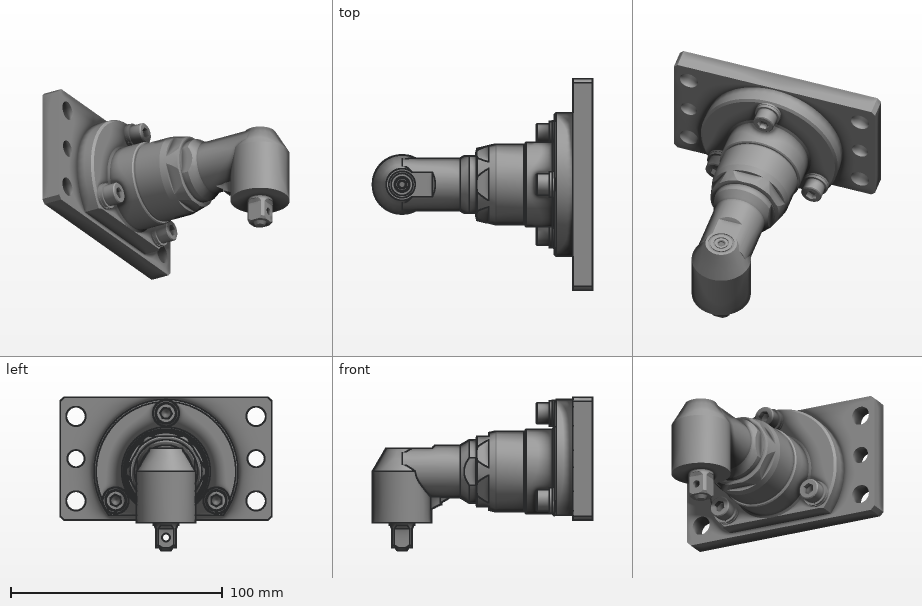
import cadquery as cq
import math


OVERALL_LENGTH = 104.0
SMALL = 0.1

HEAD_DIA = 28.0
HEAD_RADIUS = HEAD_DIA / 2
HEAD_BOTTOM_Z = -24.3
HEAD_TOP_Z = 11.0
HEAD_TOP_DIA = 15.0

TOP_GROOVES = [(12.5, 10.4, 0.5), (7.3, 6.0, 0.5)]
TOP_HOLE_DIA = 3.2
TOP_HOLE_DEPTH = 1.0
TOP_HOLE_CHAMFER = 0.4

SPINDLE_BOTTOM_Z = -37.4
SPINDLE_DIA = 12.0
COLLAR_HEIGHT = 1.0
SQUARE_SIZE = 9.6
RUNOUT_HEIGHT = 1.7
RUNOUT_DEPTH = 0.7
SQUARE_END_DIA = 10.3
SQUARE_END_TAPER = 1.1
TIP_HEIGHT = 1.5
TIP_BASE_DIA = 6.5
TIP_END_DIA = 4.3
PIN_HOLE_DIA = 3.6
PIN_HOLE_Z = -31.2

TUBE_DIA = 25.0
TUBE_SEAM_TURN = -60
TUBE_FLAT_END_X = 14.2

NECK_START_X = 27.6
NECK_RING_X = 31.7
NECK_RING_DIA = 30.0
NECK_WIDTH_ACROSS_FLATS = 27.0
NECK_FLAT_END_X = 34.8
NUT_START_X = 35.2
NUT_FACE_DIA = 32.0
NUT_TAPER_START_X = 35.5
NUT_TAPER_START_DIA = 34.0
NUT_FLAT_END_X = 41.0
NUT_ACROSS_FLATS = 33.3
NUT_SIDES = 6
BARREL_START_X = 44.2
BARREL_DIA = 38.1
GROOVE_START_X = 57.5
GROOVE_WIDTH = 0.7
GROOVE_DIA = 37.4
SLEEVE_DIA = 40.0
SLEEVE_CHAMFER = 0.5
SLEEVE_FLARE = 0.9

PLATE_THICKNESS = 9.4
PLATE_WIDTH = 100.0
PLATE_HEIGHT = 58.0
PLATE_CENTER_Z = 6.0
PLATE_CORNER_CHAMFER = 1.9
FLANGE_THICKNESS = 8.7
FLANGE_DIA = 68.0
FLANGE_CHAMFER = 1.0
FLANGE_BOTTOM_Z = -20.8
PLATE_BACK_X = OVERALL_LENGTH - HEAD_RADIUS
PLATE_FRONT_X = PLATE_BACK_X - PLATE_THICKNESS
FLANGE_FRONT_X = PLATE_FRONT_X - FLANGE_THICKNESS

HOLE_ROW_Y = 42.5
HOLE_PITCH_Z = 20.0
CORNER_HOLE_DIA = 9.0
MIDDLE_HOLE_DIA = 8.0

SCREW_CIRCLE_RADIUS = 27.5
SCREW_HEAD_DIA = 10.0
SCREW_HEAD_LENGTH = 6.0
SCREW_HEAD_CHAMFER = 0.47
SOCKET_ACROSS_FLATS = 5.0
SOCKET_DEPTH = 3.0
SOCKET_CONE_DEPTH = 1.5
WASHER_DIA = 12.5
WASHER_THICKNESS = 0.9
SPRING_WASHER_DIA = 12.1
SPRING_WASHER_THICKNESS = 1.5
SPRING_GAP = 0.6
SCREWS = [(90, 6.5, -50), (-30, 22, -90), (210, 30, -90)]

RIB_WIDTH = 7.1
RIB_TAIL_WIDTH = 6.2
RIB_TOP_Z = -TUBE_DIA / 4
RIB_LOW_Z = -18.0
RIB_STEP_X = 18.1
RIB_STEP_Z = -15.7
RIB_TAIL_X = 18.7
RIB_TAIL_Z = -14.7
RIB_END_X = 22.4


def x_cylinder(diameter, start_x, length, y=0.0, z=0.0):
    """Cylinder along +X."""
    return cq.Workplane("YZ", origin=(start_x, y, z)).circle(diameter / 2).extrude(length)


def turned_about_x(outline):
    """Solid of revolution about the X axis from (x, radius) points."""
    return cq.Workplane("XY").polyline(outline).close().revolve(360, (0, 0), (1, 0))


def turned_about_z(outline):
    """Solid of revolution about the Z axis from (radius, z) points."""
    return cq.Workplane("XZ").polyline(outline).close().revolve(360, (0, 0), (0, 1))


def make_head():
    head = turned_about_z([
        (0, HEAD_BOTTOM_Z),
        (HEAD_RADIUS, HEAD_BOTTOM_Z),
        (HEAD_RADIUS, 0),
        (HEAD_TOP_DIA / 2, HEAD_TOP_Z),
        (0, HEAD_TOP_Z),
    ])
    return head.rotate((0, 0, 0), (0, 0, 1), 180)


def cut_head_top(body):
    top = cq.Workplane("XY", origin=(0, 0, HEAD_TOP_Z))
    for outer_dia, inner_dia, depth in TOP_GROOVES:
        body = body.cut(top.circle(outer_dia / 2).circle(inner_dia / 2).extrude(-depth))
    radius = TOP_HOLE_DIA / 2
    hole = turned_about_z([
        (0, HEAD_TOP_Z - TOP_HOLE_DEPTH),
        (radius, HEAD_TOP_Z - TOP_HOLE_DEPTH),
        (radius, HEAD_TOP_Z - TOP_HOLE_CHAMFER),
        (radius + TOP_HOLE_CHAMFER, HEAD_TOP_Z),
        (0, HEAD_TOP_Z),
    ])
    return body.cut(hole)


def make_spindle():
    """Round bar milled to a square, with sloping run-outs below a round collar."""
    collar_z = HEAD_BOTTOM_Z - COLLAR_HEIGHT
    square_top_z = collar_z - RUNOUT_HEIGHT
    square_end_z = SPINDLE_BOTTOM_Z + TIP_HEIGHT
    bar_top_z = HEAD_BOTTOM_Z + SMALL
    bar = turned_about_z([
        (0, bar_top_z),
        (SPINDLE_DIA / 2, bar_top_z),
        (SPINDLE_DIA / 2, square_end_z + SQUARE_END_TAPER),
        (SQUARE_END_DIA / 2, square_end_z),
        (TIP_BASE_DIA / 2, square_end_z),
        (TIP_END_DIA / 2, SPINDLE_BOTTOM_Z),
        (0, SPINDLE_BOTTOM_Z),
    ])
    near = SQUARE_SIZE / 2
    for side in range(4):
        cutter = (
            cq.Workplane("XZ")
            .polyline([
                (near, SPINDLE_BOTTOM_Z),
                (near, square_top_z),
                (near + RUNOUT_DEPTH, collar_z),
                (SPINDLE_DIA, collar_z),
                (SPINDLE_DIA, SPINDLE_BOTTOM_Z),
            ])
            .close()
            .extrude(SPINDLE_DIA, both=True)
            .rotate((0, 0, 0), (0, 0, 1), side * 90)
        )
        bar = bar.cut(cutter)
    pin_hole = x_cylinder(PIN_HOLE_DIA, -SPINDLE_DIA, 2 * SPINDLE_DIA, z=PIN_HOLE_Z)
    return bar.cut(pin_hole)


def make_tube():
    """Plain tube, turned so that its seam stays clear of the edges of the head."""
    tube = x_cylinder(TUBE_DIA, 0, NECK_START_X + SMALL)
    return tube.rotate((0, 0, 0), (1, 0, 0), TUBE_SEAM_TURN)


def cut_tube_flat(body):
    """Flat along the tube top, level with the head and ending in a 45 degree step."""
    rise = TUBE_DIA / 2 - HEAD_TOP_Z + SMALL
    flat = (
        cq.Workplane("XZ")
        .polyline([
            (-HEAD_RADIUS, HEAD_TOP_Z),
            (TUBE_FLAT_END_X, HEAD_TOP_Z),
            (TUBE_FLAT_END_X + rise, HEAD_TOP_Z + rise),
            (-HEAD_RADIUS, HEAD_TOP_Z + rise),
        ])
        .close()
        .extrude(TUBE_DIA / 2, both=True)
    )
    return body.cut(flat)


def make_rib():
    """Stepped rib below the tube, with a slightly narrower tail."""
    front = (
        cq.Workplane("XZ")
        .polyline([(0, RIB_TOP_Z), (0, RIB_LOW_Z), (HEAD_RADIUS - 0.4, RIB_LOW_Z),
                   (RIB_STEP_X, RIB_STEP_Z), (RIB_STEP_X, RIB_TOP_Z)])
        .close()
        .extrude(RIB_WIDTH / 2, both=True)
    )
    tail = (
        cq.Workplane("XZ")
        .polyline([(0, RIB_TOP_Z), (0, RIB_STEP_Z), (RIB_TAIL_X, RIB_STEP_Z), (RIB_TAIL_X, RIB_TAIL_Z),
                   (RIB_END_X, -TUBE_DIA / 2), (RIB_END_X, RIB_TOP_Z)])
        .close()
        .extrude(RIB_TAIL_WIDTH / 2, both=True)
    )
    return front.union(tail)


def make_housing():
    sleeve_start_x = GROOVE_START_X + GROOVE_WIDTH
    housing = turned_about_x([
        (NECK_START_X, 0),
        (NECK_START_X, TUBE_DIA / 2),
        (NECK_RING_X, NECK_RING_DIA / 2),
        (NUT_START_X, NECK_RING_DIA / 2),
        (NUT_START_X, NUT_FACE_DIA / 2),
        (NUT_TAPER_START_X, NUT_TAPER_START_DIA / 2),
        (BARREL_START_X, BARREL_DIA / 2),
        (GROOVE_START_X, BARREL_DIA / 2),
        (GROOVE_START_X, GROOVE_DIA / 2),
        (sleeve_start_x, GROOVE_DIA / 2),
        (sleeve_start_x, SLEEVE_DIA / 2 - SLEEVE_CHAMFER),
        (sleeve_start_x + SLEEVE_CHAMFER, SLEEVE_DIA / 2),
        (FLANGE_FRONT_X - SLEEVE_FLARE, SLEEVE_DIA / 2),
        (FLANGE_FRONT_X, SLEEVE_DIA / 2 + SLEEVE_FLARE),
        (FLANGE_FRONT_X + SMALL, 0),
    ])
    return cut_nut_flats(cut_neck_flats(housing))


def cut_neck_flats(housing):
    """Two wrench flats on the neck, facing -Y and +Y."""
    for side in (-1, 1):
        cutter = (
            cq.Workplane("XY")
            .box(NECK_FLAT_END_X - NECK_START_X, BARREL_DIA, BARREL_DIA, centered=(False, True, True))
            .translate((NECK_START_X, side * (NECK_WIDTH_ACROSS_FLATS + BARREL_DIA) / 2, 0))
        )
        housing = housing.cut(cutter)
    return housing


def cut_nut_flats(housing):
    """Six wrench flats on the taper, one facing straight up."""
    length = NUT_FLAT_END_X - NUT_START_X
    for side in range(NUT_SIDES):
        cutter = (
            cq.Workplane("XY")
            .box(length, BARREL_DIA, BARREL_DIA, centered=(False, True, False))
            .translate((NUT_START_X, 0, NUT_ACROSS_FLATS / 2))
            .rotate((0, 0, 0), (1, 0, 0), side * 360 / NUT_SIDES)
        )
        housing = housing.cut(cutter)
    return housing


def make_flange():
    flange = x_cylinder(FLANGE_DIA, FLANGE_FRONT_X, FLANGE_THICKNESS)
    flange = flange.faces("<X").edges().chamfer(FLANGE_CHAMFER)
    below = cq.Workplane("XY").box(
        4 * FLANGE_THICKNESS, FLANGE_DIA, FLANGE_DIA, centered=(True, True, False)
    ).translate((FLANGE_FRONT_X, 0, FLANGE_BOTTOM_Z - FLANGE_DIA))
    return flange.cut(below)


def make_plate():
    plate = (
        cq.Workplane("YZ", origin=(PLATE_FRONT_X, 0, PLATE_CENTER_Z))
        .rect(PLATE_WIDTH, PLATE_HEIGHT)
        .extrude(PLATE_THICKNESS)
        .edges("|X")
        .chamfer(PLATE_CORNER_CHAMFER)
    )
    for y in (-HOLE_ROW_Y, HOLE_ROW_Y):
        for row in (-1, 0, 1):
            diameter = CORNER_HOLE_DIA if row else MIDDLE_HOLE_DIA
            z = PLATE_CENTER_Z + row * HOLE_PITCH_Z
            plate = plate.cut(x_cylinder(diameter, PLATE_FRONT_X, PLATE_THICKNESS, y, z))
    return plate


def make_screw(socket_turn, gap_angle):
    """Socket head screw on a split spring washer and a flat washer, seated at x = 0."""
    spring_x = -WASHER_THICKNESS - SPRING_WASHER_THICKNESS
    head_x = spring_x - SCREW_HEAD_LENGTH
    head = x_cylinder(SCREW_HEAD_DIA, head_x, SCREW_HEAD_LENGTH)
    head = head.faces("<X").edges().chamfer(SCREW_HEAD_CHAMFER)

    socket_dia = SOCKET_ACROSS_FLATS / math.cos(math.pi / 6)
    socket = (
        cq.Workplane("YZ", origin=(head_x, 0, 0))
        .polygon(6, socket_dia)
        .extrude(SOCKET_DEPTH)
        .rotate((0, 0, 0), (1, 0, 0), socket_turn)
    )
    socket_bottom_x = head_x + SOCKET_DEPTH
    cone = turned_about_x([
        (socket_bottom_x, 0),
        (socket_bottom_x, SOCKET_ACROSS_FLATS / 2),
        (socket_bottom_x + SOCKET_CONE_DEPTH, 0),
    ])
    head = head.cut(socket).cut(cone)

    gap_length = SPRING_WASHER_DIA - SCREW_HEAD_DIA
    gap = (
        cq.Workplane("XY")
        .box(SPRING_WASHER_THICKNESS, gap_length, SPRING_GAP, centered=(False, False, True))
        .translate((spring_x, SCREW_HEAD_DIA / 2, 0))
        .rotate((0, 0, 0), (1, 0, 0), gap_angle)
    )
    spring_washer = x_cylinder(SPRING_WASHER_DIA, spring_x, SPRING_WASHER_THICKNESS).cut(gap)
    washer = x_cylinder(WASHER_DIA, -WASHER_THICKNESS, WASHER_THICKNESS + SMALL)
    return head.union(spring_washer).union(washer)


result = make_head().union(make_tube())
result = cut_head_top(cut_tube_flat(result))
result = result.union(make_rib()).union(make_spindle())
result = result.union(make_housing()).union(make_flange()).union(make_plate())
for place_angle, socket_turn, gap_angle in SCREWS:
    screw_y = SCREW_CIRCLE_RADIUS * math.cos(math.radians(place_angle))
    screw_z = SCREW_CIRCLE_RADIUS * math.sin(math.radians(place_angle))
    screw = make_screw(socket_turn, gap_angle).translate((FLANGE_FRONT_X, screw_y, screw_z))
    result = result.union(screw)